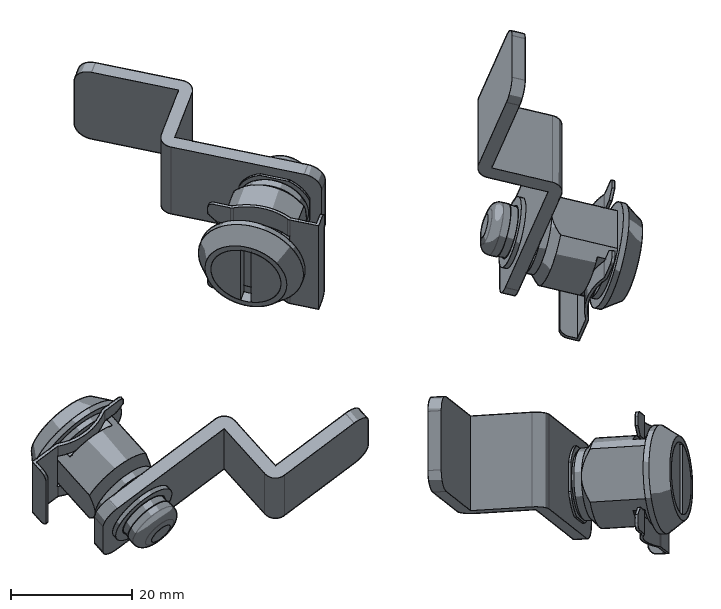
import cadquery as cq
import math


bezel_diameter = 18.0
bezel_front_diameter = 14.0
bezel_cone_length = 3.0
bezel_length = 4.0
barrel_diameter = 15.0
barrel_flat_width = 12.0
barrel_end = 13.9
neck_diameter = 12.0
neck_cone_length = (barrel_diameter - neck_diameter) / 2
neck_end = 17.2
neck_chamfer = 0.5

groove_start = 5.0
groove_end = 7.0
groove_floor = 6.0

head_diameter = 12.0
head_length = 2.0
shank_diameter = 9.0
undercut_diameter = 8.7
undercut_end = 22.0
band_end = 23.3
tip_round_radius = 1.5
tip_taper_height = 0.35
tip_face_diameter = 4.0
driver_slot_width = 1.8
driver_slot_depth = head_length

front_washer_thickness = 0.4
front_washer_diameter = 13.0
front_washer_square = 12.0
rear_washer_thickness = 0.8
rear_washer_diameter = 12.0

cam_thickness = 2.3
cam_width = 16.0
cam_left = -38.0
cam_right = 8.0
cam_web_right = -17.8
cam_corner_radius = 3.0
cam_bend_radius = cam_thickness
overall_length = 32.7
cam_front = neck_end + front_washer_thickness
cam_back = cam_front + cam_thickness
cam_tip_front = overall_length - cam_thickness
undercut_start = cam_back + rear_washer_thickness

clip_thickness = 0.5
clip_height = 20.0
clip_left = -8.0
clip_right = 11.0
clip_front = 5.15
clip_flange_length = 3.5
bow_center = 1.0
bow_half_chord = 4.85
bow_rise = 1.3
bow_inner_bend_radius = 0.4
bow_outer_bend_radius = bow_inner_bend_radius + clip_thickness
clip_tongue_radius = 1.0
clip_flange_radius = 1.5
clip_slot_end = barrel_flat_width / 2
clip_slot_lead_in = 1.5


def disc(diameter, start, end):
    """Cylinder on the lock axis between two Y positions."""
    return cq.Workplane("XZ", origin=(0, start, 0)).circle(diameter / 2).extrude(start - end)


def block(x_range, y_range, z_range):
    """Axis-aligned box given by its (low, high) limits."""
    ranges = (x_range, y_range, z_range)
    sizes = [high - low for low, high in ranges]
    low_corner = tuple(low for low, high in ranges)
    return cq.Workplane("XY").box(*sizes, centered=False).translate(low_corner)


def revolved(outline):
    """Revolve a closed XY outline about the lock axis."""
    return outline.close().revolve(360, (0, 0, 0), (0, 1, 0))


def make_housing():
    neck_radius = neck_diameter / 2
    barrel = revolved(
        cq.Workplane("XY")
        .moveTo(0, bezel_length)
        .lineTo(barrel_diameter / 2, bezel_length)
        .lineTo(barrel_diameter / 2, barrel_end)
        .lineTo(neck_radius, barrel_end + neck_cone_length)
        .lineTo(neck_radius, neck_end - neck_chamfer)
        .lineTo(neck_radius - neck_chamfer, neck_end)
        .lineTo(0, neck_end)
    )
    half_flat = barrel_flat_width / 2
    half_barrel = barrel_diameter / 2
    barrel = barrel.intersect(
        block((-half_flat, half_flat), (bezel_length, neck_end), (-half_barrel, half_barrel))
    )
    for z_range in ((groove_floor, half_barrel), (-half_barrel, -groove_floor)):
        barrel = barrel.cut(block((-half_barrel, half_barrel), (groove_start, groove_end), z_range))
    bezel = revolved(
        cq.Workplane("XY")
        .lineTo(bezel_front_diameter / 2, 0)
        .lineTo(bezel_diameter / 2, bezel_cone_length)
        .lineTo(bezel_diameter / 2, bezel_length)
        .lineTo(0, bezel_length)
    )
    housing = bezel.union(barrel)
    housing = housing.cut(disc(head_diameter, 0, head_length))
    return housing.cut(disc(shank_diameter, 0, neck_end))


def make_spindle():
    shank_radius = shank_diameter / 2
    taper_radius = shank_radius - tip_round_radius
    taper_start = band_end + tip_round_radius
    tip_end = taper_start + tip_taper_height
    round_step = tip_round_radius * math.sin(math.radians(45))
    spindle = revolved(
        cq.Workplane("XY")
        .lineTo(head_diameter / 2, 0)
        .lineTo(head_diameter / 2, head_length)
        .lineTo(shank_radius, head_length)
        .lineTo(shank_radius, undercut_start)
        .lineTo(undercut_diameter / 2, undercut_start)
        .lineTo(undercut_diameter / 2, undercut_end)
        .lineTo(shank_radius, undercut_end)
        .lineTo(shank_radius, band_end)
        .threePointArc((taper_radius + round_step, band_end + round_step), (taper_radius, taper_start))
        .lineTo(tip_face_diameter / 2, tip_end)
        .lineTo(0, tip_end)
    )
    half_slot = driver_slot_width / 2
    half_head = head_diameter / 2
    return spindle.cut(
        block((-half_slot, half_slot), (0, driver_slot_depth), (-half_head, half_head))
    )


def make_front_washer():
    half_square = front_washer_square / 2
    washer = disc(front_washer_diameter, neck_end, cam_front).intersect(
        block((-half_square, half_square), (neck_end, cam_front), (-half_square, half_square))
    )
    return washer.cut(disc(shank_diameter, neck_end, cam_front))


def make_rear_washer():
    washer = disc(rear_washer_diameter, cam_back, undercut_start)
    return washer.cut(disc(shank_diameter, cam_back, undercut_start))


def make_cam():
    web_left = cam_web_right - cam_thickness
    cam = (
        cq.Workplane("XY", origin=(0, 0, -cam_width / 2))
        .moveTo(cam_right, cam_front)
        .lineTo(web_left + cam_bend_radius, cam_front)
        .radiusArc((web_left, cam_front + cam_bend_radius), cam_bend_radius)
        .lineTo(web_left, cam_tip_front)
        .lineTo(cam_left, cam_tip_front)
        .lineTo(cam_left, overall_length)
        .lineTo(cam_web_right - cam_bend_radius, overall_length)
        .radiusArc((cam_web_right, overall_length - cam_bend_radius), cam_bend_radius)
        .lineTo(cam_web_right, cam_back)
        .lineTo(cam_right, cam_back)
        .close()
        .extrude(cam_width)
    )
    cam = cam.faces("<X or >X").edges("|Y").fillet(cam_corner_radius)
    return cam.cut(disc(shank_diameter, cam_front, cam_back))


def make_clip():
    clip_back = clip_front + clip_thickness
    flange_end = clip_front + clip_flange_length
    inner_radius = (bow_half_chord**2 + bow_rise**2) / (2 * bow_rise)
    outer_radius = inner_radius + clip_thickness
    back_half_chord = math.sqrt(outer_radius**2 - (outer_radius - bow_rise) ** 2)
    clip = (
        cq.Workplane("XY", origin=(0, 0, -clip_height / 2))
        .moveTo(clip_left, clip_front)
        .lineTo(bow_center - bow_half_chord, clip_front)
        .radiusArc((bow_center + bow_half_chord, clip_front), inner_radius)
        .lineTo(clip_right, clip_front)
        .lineTo(clip_right, flange_end)
        .lineTo(clip_right - clip_thickness, flange_end)
        .lineTo(clip_right - clip_thickness, clip_back)
        .lineTo(bow_center + back_half_chord, clip_back)
        .radiusArc((bow_center - back_half_chord, clip_back), -outer_radius)
        .lineTo(clip_left, clip_back)
        .close()
        .extrude(clip_height)
    )
    bends = (
        (clip_front, bow_half_chord, bow_outer_bend_radius),
        (clip_back, back_half_chord, bow_inner_bend_radius),
    )
    for bend_y, half_chord, bend_radius in bends:
        for side in (-1, 1):
            bend_point = (bow_center + side * half_chord, bend_y, 0)
            clip = clip.edges(cq.selectors.NearestToPointSelector(bend_point)).fillet(bend_radius)
    clip = clip.faces("<X").edges("|Y").fillet(clip_tongue_radius)
    clip = clip.faces(">Y").edges("|X").fillet(clip_flange_radius)

    slot = (
        cq.Workplane("XZ", origin=(0, clip_front, 0))
        .moveTo(clip_left, -groove_floor - clip_slot_lead_in)
        .lineTo(clip_left + clip_slot_lead_in, -groove_floor)
        .lineTo(clip_slot_end, -groove_floor)
        .lineTo(clip_slot_end, groove_floor)
        .lineTo(clip_left + clip_slot_lead_in, groove_floor)
        .lineTo(clip_left, groove_floor + clip_slot_lead_in)
        .close()
        .extrude(-clip_flange_length)
    )
    return clip.cut(slot)


housing = make_housing()
spindle = make_spindle()
front_washer = make_front_washer()
cam = make_cam()
rear_washer = make_rear_washer()
clip = make_clip()

result = cq.Compound.makeCompound(
    [
        housing.val(),
        spindle.val(),
        front_washer.val(),
        cam.val(),
        rear_washer.val(),
        clip.val(),
    ]
)